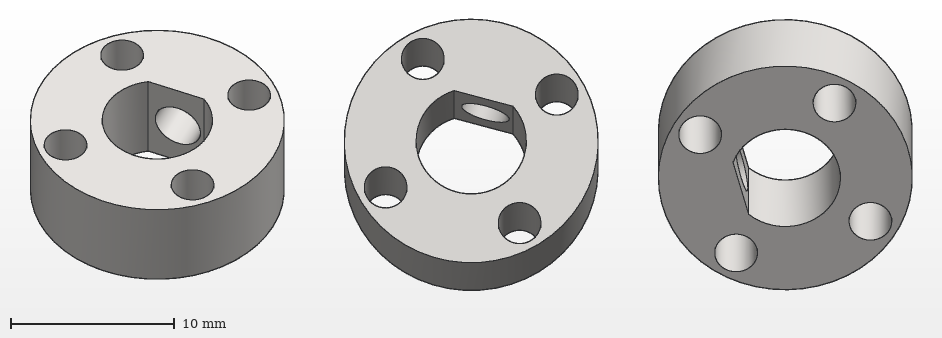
import cadquery as cq

hub_diameter = 15.5
hub_height = 6.0
bore_diameter = 6.73
flat_offset = 2.8
bolt_circle_diameter = 12.0
bolt_hole_diameter = 2.6
bolt_hole_count = 4
first_bolt_angle = 45.0
set_screw_diameter = 3.0
set_screw_offset = 0.12

hub = cq.Workplane("XY").circle(hub_diameter / 2).extrude(hub_height)

bore = cq.Workplane("XY").circle(bore_diameter / 2).extrude(hub_height)
beyond_flat = (
    cq.Workplane("XY")
    .center(0, flat_offset + bore_diameter / 2)
    .rect(bore_diameter, bore_diameter)
    .extrude(hub_height)
)
d_bore = bore.cut(beyond_flat)

bolt_holes = (
    cq.Workplane("XY")
    .polarArray(bolt_circle_diameter / 2, first_bolt_angle, 360, bolt_hole_count)
    .circle(bolt_hole_diameter / 2)
    .extrude(hub_height)
)

set_screw_hole = (
    cq.Workplane("XZ")
    .center(set_screw_offset, hub_height / 2)
    .circle(set_screw_diameter / 2)
    .extrude(-hub_diameter / 2)
)

result = hub.cut(d_bore).cut(bolt_holes).cut(set_screw_hole)